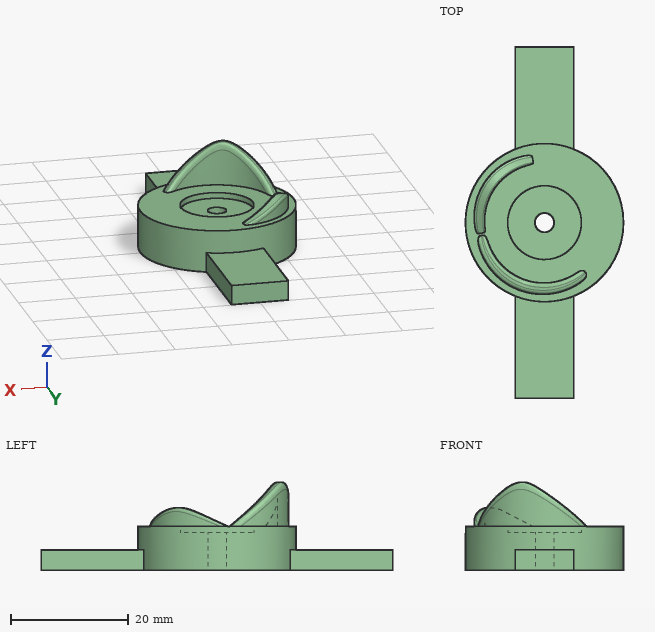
import cadquery as cq
import math

body_diameter = 27.0
body_height = 7.5
recess_diameter = 12.6
recess_depth = 1.0
bore_diameter = 3.25

bar_length = 60.0
bar_width = 10.0
bar_height = 3.5

ridge_inner_radius = 10.3
ridge_outer_radius = 12.3
ridge_inner_drift = 0.2
ridge_outer_drift = 0.55
ridge_root_depth = 3.6
crest_softness = 12.0
end_overrun = 6.0
station_count = 17

tall_ridge_rise = 7.55
tall_ridge_angle = 250.5
tall_ridge_half_span = 59.0
tall_ridge_rounding_width = 0.7
tall_ridge_rounding_drop = 1.2

low_ridge_rise = 3.2
low_ridge_angle = 145.0
low_ridge_half_span = 44.5
low_ridge_rounding_width = 0.35
low_ridge_rounding_drop = 0.6


def crest_height(offset, rise, half_span):
    """Hyperbolic crest: a blunt peak with nearly straight flanks reaching zero at half_span."""
    drop = math.hypot(offset, crest_softness) - crest_softness
    full_drop = math.hypot(half_span, crest_softness) - crest_softness
    return body_height + rise * (1 - drop / full_drop)


def ridge_section(angle, inner_radius, outer_radius, crest, rounding_width, rounding_drop):
    """Radial section of a ridge with both top corners rounded."""
    direction = math.radians(angle)
    plane = cq.Plane(
        origin=(0, 0, 0),
        xDir=(math.cos(direction), math.sin(direction), 0),
        normal=(math.sin(direction), -math.cos(direction), 0),
    )
    root = body_height - ridge_root_depth
    shoulder = crest - rounding_drop
    inner_flat = inner_radius + rounding_width
    outer_flat = outer_radius - rounding_width
    upward = (0, 1)
    inward = (-1, 0)
    downward = (0, -1)
    return (
        cq.Workplane(plane)
        .moveTo(inner_radius, root)
        .lineTo(outer_radius, root)
        .lineTo(outer_radius, shoulder)
        .spline([(outer_flat, crest)], tangents=[upward, inward], includeCurrent=True)
        .lineTo(inner_flat, crest)
        .spline([(inner_radius, shoulder)], tangents=[inward, downward], includeCurrent=True)
        .close()
        .val()
    )


def ridge(middle_angle, half_span, rise, rounding_width, rounding_drop):
    """Loft radial sections along the ring from one buried end to the other."""
    reach = half_span + end_overrun
    sections = []
    for station in range(station_count):
        offset = reach * (2 * station / (station_count - 1) - 1)
        crest = crest_height(offset, rise, half_span)
        drift = (offset / half_span) ** 2
        inner_radius = ridge_inner_radius - ridge_inner_drift * drift
        outer_radius = ridge_outer_radius - ridge_outer_drift * drift
        sections.append(
            ridge_section(
                middle_angle + offset, inner_radius, outer_radius, crest, rounding_width, rounding_drop
            )
        )
    return cq.Workplane(cq.Solid.makeLoft(sections))


body = cq.Workplane("XY").circle(body_diameter / 2).extrude(body_height)
bar = cq.Workplane("XY").box(bar_width, bar_length, bar_height, centered=(True, True, False))
recess = (
    cq.Workplane("XY")
    .workplane(offset=body_height - recess_depth)
    .circle(recess_diameter / 2)
    .extrude(recess_depth)
)
bore = cq.Workplane("XY").circle(bore_diameter / 2).extrude(body_height)

tall_ridge = ridge(
    tall_ridge_angle,
    tall_ridge_half_span,
    tall_ridge_rise,
    tall_ridge_rounding_width,
    tall_ridge_rounding_drop,
)
low_ridge = ridge(
    low_ridge_angle,
    low_ridge_half_span,
    low_ridge_rise,
    low_ridge_rounding_width,
    low_ridge_rounding_drop,
)

result = body.union(bar).cut(recess).cut(bore).union(tall_ridge).union(low_ridge)